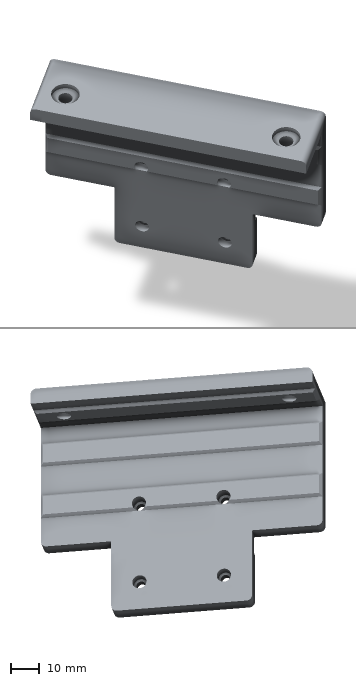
import cadquery as cq

length = 100.0
thickness = 5.7
shelf_reach = 20.0
wall_drop = 46.0
tab_width = 50.0
tab_drop = 27.0
corner_radius = 2.0

notch_height = 7.0
notch_depth = 1.7

rib_length = length
rib_width = 9.0
rib_height = 1.0
rib_slope_run = 1.0
rib_sink = 0.5
wall_rib_drop = 16.2
wall_rib_spacing = 20.0
shelf_rib_offset = 10.0

shelf_hole_spacing = 80.0
shelf_hole_diameter = 5.0
shelf_bore_diameter = 10.0
shelf_bore_depth = 2.0
wall_hole_spacing = 30.0
wall_hole_drop = 38.2
wall_hole_diameter = 3.2
wall_bore_diameter = 5.0
wall_bore_depth = 3.2

depth = thickness + shelf_reach
wall_bottom = -(thickness + wall_drop)
tab_bottom = wall_bottom - tab_drop
shelf_line_y = -(thickness + shelf_rib_offset)


def block(width, y_front, y_back, z_bottom, z_top):
    """Box centred on X between the given Y and Z limits."""
    return (
        cq.Workplane("XY")
        .box(width, y_back - y_front, z_top - z_bottom, centered=(True, False, False))
        .translate((0, y_front, z_bottom))
    )


def make_body():
    """Shelf, wall and tab with rounded outer corners."""
    wall = block(length, -thickness, 0, wall_bottom, 0)
    shelf = block(length, -depth, 0, -thickness, 0)
    angle = wall.union(shelf).edges("|Y and (>Z or <Z)").fillet(corner_radius)
    tab = block(tab_width, -thickness, 0, tab_bottom, wall_bottom)
    tab = tab.edges("|Y and <Z").fillet(corner_radius)
    notch = block(tab_width, -notch_depth, 0, wall_bottom - notch_height, wall_bottom)
    return angle.union(tab).cut(notch)


def make_rib(origin, normal):
    """Rib along X whose four sides slope inward, rooted slightly into the face."""
    plane = cq.Plane(origin=origin, xDir=(1, 0, 0), normal=normal)
    root = cq.Workplane(plane).rect(rib_length, rib_width).extrude(-rib_sink)
    raised = (
        cq.Workplane(plane)
        .rect(rib_length, rib_width)
        .workplane(offset=rib_height)
        .rect(rib_length - 2 * rib_slope_run, rib_width - 2 * rib_slope_run)
        .loft(ruled=True)
    )
    return root.union(raised)


def add_ribs(body):
    """Two ribs on the front of the wall and one under the shelf."""
    for index in range(2):
        rib_z = -(wall_rib_drop + index * wall_rib_spacing)
        body = body.union(make_rib((0, -thickness, rib_z), (0, -1, 0)))
    return body.union(make_rib((0, shelf_line_y, -thickness), (0, 0, -1)))


def cut_hole(body, entry, direction, diameters, bore_depth):
    """Through hole with a counterbore; entry is the centre on the bored face."""
    hole_diameter, bore_diameter = diameters
    start = cq.Vector(*entry)
    axis = cq.Vector(*direction)
    outside = start - axis * rib_height
    hole_length = thickness + 2 * rib_height
    hole = cq.Solid.makeCylinder(hole_diameter / 2, hole_length, outside, axis)
    bore = cq.Solid.makeCylinder(bore_diameter / 2, rib_height + bore_depth, outside, axis)
    return body.cut(cq.Workplane(hole)).cut(cq.Workplane(bore))


def cut_holes(body):
    """Two screw holes in the shelf and a square of four in the wall and tab."""
    for side in (-1, 1):
        shelf_entry = (side * shelf_hole_spacing / 2, shelf_line_y, 0)
        shelf_diameters = (shelf_hole_diameter, shelf_bore_diameter)
        body = cut_hole(body, shelf_entry, (0, 0, -1), shelf_diameters, shelf_bore_depth)
        for row in range(2):
            hole_z = -(wall_hole_drop + row * wall_hole_spacing)
            wall_entry = (side * wall_hole_spacing / 2, -thickness, hole_z)
            wall_diameters = (wall_hole_diameter, wall_bore_diameter)
            body = cut_hole(body, wall_entry, (0, 1, 0), wall_diameters, wall_bore_depth)
    return body


result = cut_holes(add_ribs(make_body()))